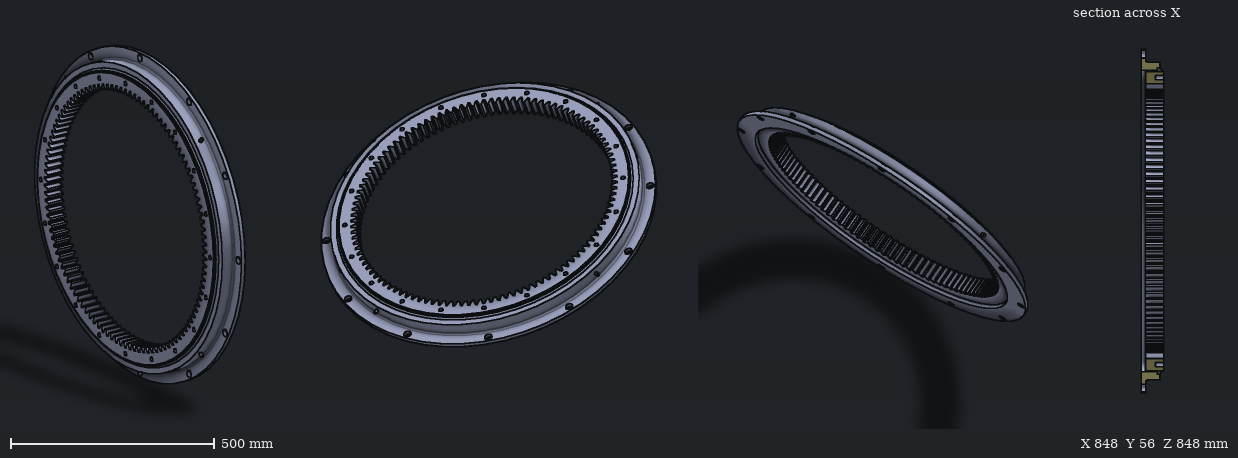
import cadquery as cq
import math


flange_radius = 424.0
flange_thickness = 12.0
ring_radius = 392.0
ring_depth = 47.0
corner_fillet = 5.0
flange_hole_count = 12
flange_hole_diameter = 18.0
flange_hole_circle_radius = 410.5

overall_depth = 56.0
gear_back_depth = 10.0
gear_radius = 369.0
gear_edge_chamfer = 2.0
gear_hole_count = 20
gear_hole_diameter = 10.0
gear_hole_circle_radius = 353.0
gear_hole_depth = 20.0

tooth_count = 110
pitch_radius = 330.0
pressure_angle = math.radians(20)
module = 2 * pitch_radius / tooth_count
tip_radius = pitch_radius - module
root_radius = pitch_radius + 1.25 * module
base_radius = pitch_radius * math.cos(pressure_angle)

running_gap = 2.0
ring_bore_radius = gear_radius + running_gap
seal_radius = 376.5
seal_seat_depth = 41.0
seal_lip_depth = 51.0
seal_lip_radius = 371.0

nipple_count = 4
nipple_first_angle = 45
nipple_diameter = 8.0
nipple_tip_radius = 401.0
nipple_seat_radius = ring_radius - 8.5
nipple_depth = 30.0


def revolved(profile):
    """Turn a closed outline of (radius, depth) points around the Y axis."""
    points = [(radius, -depth) for radius, depth in profile]
    return cq.Workplane("XY").polyline(points).close().revolve(360, (0, 0, 0), (0, 1, 0))


def hole_circle(depth, length, circle_radius, count, diameter):
    """Drills running from a given depth toward the front, with the first one on +X."""
    return (
        cq.Workplane("XZ", origin=(0, -depth, 0))
        .polarArray(circle_radius, 0, 360, count)
        .circle(diameter / 2)
        .extrude(length)
    )


def nipple_body(angle):
    """One radial grease nipple, at an angle from +X toward +Z."""
    length = nipple_tip_radius - nipple_seat_radius
    direction = cq.Vector(math.cos(math.radians(angle)), 0, math.sin(math.radians(angle)))
    base = direction * nipple_seat_radius - cq.Vector(0, nipple_depth, 0)
    return cq.Solid.makeCylinder(nipple_diameter / 2, length, base, direction)


def make_outer_ring(nipples):
    fillet_depth = flange_thickness + corner_fillet
    fillet_inset = corner_fillet * (1 - math.sqrt(0.5))
    profile = (
        cq.Workplane("XY")
        .moveTo(ring_bore_radius, 0)
        .lineTo(flange_radius, 0)
        .lineTo(flange_radius, -flange_thickness)
        .lineTo(ring_radius + corner_fillet, -flange_thickness)
        .threePointArc(
            (ring_radius + fillet_inset, -flange_thickness - fillet_inset),
            (ring_radius, -fillet_depth),
        )
        .lineTo(ring_radius, -ring_depth)
        .lineTo(seal_radius, -ring_depth)
        .lineTo(seal_radius, -seal_seat_depth)
        .lineTo(ring_bore_radius, -seal_seat_depth)
        .close()
    )
    ring = profile.revolve(360, (0, 0, 0), (0, 1, 0))
    ring = ring.cut(hole_circle(
        0, flange_thickness, flange_hole_circle_radius, flange_hole_count, flange_hole_diameter
    ))
    for nipple in nipples:
        ring = ring.cut(cq.Workplane(nipple))
    return ring


def space_half_angle(radius):
    """Half the angle of the space between two teeth, bounded by involute flanks."""
    def involute(angle):
        return math.tan(angle) - angle

    flank_angle = math.acos(base_radius / radius)
    return math.pi / (2 * tooth_count) + involute(pressure_angle) - involute(flank_angle)


def on_circle(radius, angle):
    return (radius * math.cos(angle), radius * math.sin(angle))


def toothed_opening():
    """The opening inside the gear teeth; a tooth stands centred on +X."""
    pitch_angle = 2 * math.pi / tooth_count
    tip = space_half_angle(tip_radius)
    middle = space_half_angle(pitch_radius)
    root = space_half_angle(root_radius)
    outline = cq.Workplane("XZ", origin=(0, -gear_back_depth, 0))
    outline = outline.moveTo(*on_circle(tip_radius, pitch_angle / 2 - tip))
    for index in range(tooth_count):
        centre = (index + 0.5) * pitch_angle
        outline = (
            outline
            .threePointArc(on_circle(pitch_radius, centre - middle), on_circle(root_radius, centre - root))
            .threePointArc(on_circle(root_radius, centre), on_circle(root_radius, centre + root))
            .threePointArc(on_circle(pitch_radius, centre + middle), on_circle(tip_radius, centre + tip))
            .threePointArc(
                on_circle(tip_radius, centre + pitch_angle / 2),
                on_circle(tip_radius, centre + pitch_angle - tip),
            )
        )
    return outline.close().extrude(overall_depth - gear_back_depth)


def make_gear_ring():
    blank_bore_radius = tip_radius - module
    blank = revolved([
        (blank_bore_radius, gear_back_depth),
        (gear_radius, gear_back_depth),
        (gear_radius, overall_depth - gear_edge_chamfer),
        (gear_radius - gear_edge_chamfer, overall_depth),
        (blank_bore_radius, overall_depth),
    ])
    holes = hole_circle(
        overall_depth - gear_hole_depth,
        gear_hole_depth,
        gear_hole_circle_radius,
        gear_hole_count,
        gear_hole_diameter,
    )
    return blank.cut(toothed_opening()).cut(holes)


def make_seal():
    return revolved([
        (gear_radius, seal_seat_depth),
        (seal_radius, seal_seat_depth),
        (seal_radius, ring_depth),
        (seal_lip_radius, seal_lip_depth),
        (gear_radius, seal_lip_depth),
    ])


grease_nipples = [
    nipple_body(nipple_first_angle + index * 360 / nipple_count) for index in range(nipple_count)
]
outer_ring = make_outer_ring(grease_nipples)
gear_ring = make_gear_ring()
seal = make_seal()

result = cq.Compound.makeCompound([outer_ring.val(), gear_ring.val(), seal.val(), *grease_nipples])